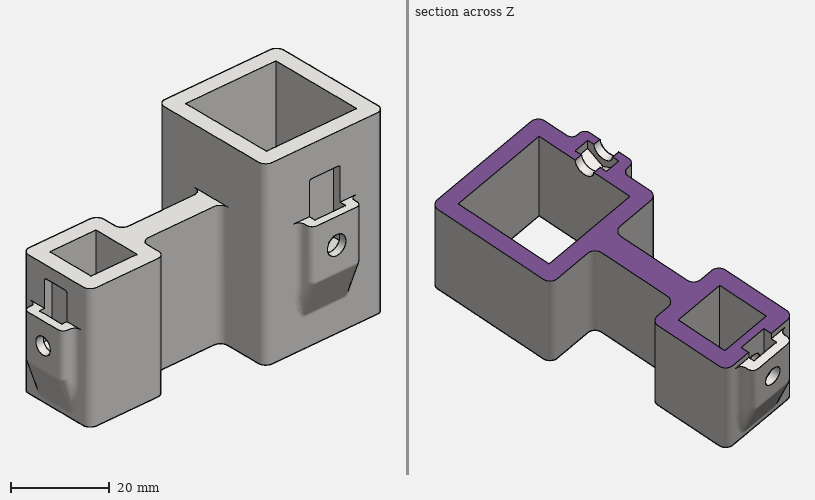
import cadquery as cq
import math

wall = 4.0
large_bore = 24.5
small_bore = 12.5
large_side = large_bore + 2 * wall
small_side = small_bore + 2 * wall
large_height = 48.0
small_height = 33.0
overall_length = 78.19
web_width = 6.0
corner_radius = 2.0

lug_radius = 1.5
ramp_drop = 9.5
backing_depth = wall / 2
margin = 0.1
pocket_inset = 2.0
pocket_corner_radius = 0.6
entry_clearance = 0.45

small_lug_width = 11.9
small_lug_depth = 3.44
small_lug_top = 22.5
small_nut_width = 6.8
small_nut_outset = 1.4
small_bolt_diameter = 4.37

large_lug_width = 13.65
large_lug_depth = 3.64
large_lug_top = 30.9
large_nut_width = 8.35
large_nut_outset = 1.7
large_bolt_diameter = 5.0

tube_gap = overall_length - large_side - small_side - small_lug_depth
small_center_y = -(large_side / 2 + tube_gap + small_side / 2)


def square_post(side, height, center_y):
    """Square column with rounded vertical corners, standing on Z = 0."""
    post = cq.Workplane("XY").center(0, center_y).rect(side, side).extrude(height)
    return post.edges("|Z").fillet(corner_radius)


def square_bore(side, height, center_y):
    """Sharp-cornered square prism that opens a tube from end to end."""
    return cq.Workplane("XY").center(0, center_y).rect(side, side).extrude(height)


def web():
    """Flat web between the tubes, with a concave fillet at each of its four corners."""
    y_large = -large_side / 2
    y_small = y_large - tube_gap
    middle_y = (y_large + y_small) / 2
    plate = cq.Workplane("XY").center(0, middle_y).rect(web_width, tube_gap).extrude(small_height)
    for side in (-1, 1):
        for y_face, inward in ((y_large, -1), (y_small, 1)):
            x_web = side * web_width / 2
            x_end = x_web + side * corner_radius
            y_end = y_face + inward * corner_radius
            blend = cq.Workplane("XY").rect(corner_radius, corner_radius).extrude(small_height)
            blend = blend.translate(((x_web + x_end) / 2, (y_face + y_end) / 2, 0))
            round_cut = cq.Workplane("XY").center(x_end, y_end).circle(corner_radius).extrude(small_height)
            plate = plate.union(blend.cut(round_cut))
    return plate


def lug(width, depth, top):
    """Lug pointing to -Y from a backing slab whose outer face is Y = 0, with a ramp under it."""
    ramp_top = top - width
    ramp_bottom = ramp_top - ramp_drop
    half_width = width / 2
    block = (
        cq.Workplane("YZ")
        .moveTo(backing_depth, top)
        .lineTo(-depth, top)
        .lineTo(-depth, ramp_top)
        .lineTo(0, ramp_bottom)
        .lineTo(backing_depth, ramp_bottom)
        .close()
        .extrude(half_width, both=True)
    )
    front_edges = cq.selectors.BoxSelector(
        (-width, -depth - margin, ramp_bottom + margin),
        (width, -margin, top - margin),
    )
    block = block.edges(front_edges).fillet(lug_radius)
    slab_width = width + 2 * lug_radius + 2 * margin
    slab = cq.Workplane("XY").box(slab_width, backing_depth, top, centered=(True, False, False))
    root_edges = cq.selectors.BoxSelector(
        (-half_width - margin / 2, -margin, ramp_bottom - margin),
        (half_width + margin / 2, margin, top + margin),
        boundingbox=True,
    )
    return slab.union(block).edges(root_edges).fillet(lug_radius)


def nut_pocket(nut_width, outset, lug_width, lug_depth, lug_top, bolt_diameter):
    """Drop-in pocket for a hex nut, pointed at the bottom, with the bolt hole through the wall."""
    bolt_z = lug_top - lug_width / 2
    half_nut = nut_width / 2
    side_rise = half_nut * math.tan(math.pi / 6)
    entry_top = lug_top + nut_width + entry_clearance
    profile = [
        (-half_nut, bolt_z - side_rise),
        (0, bolt_z - 2 * side_rise),
        (half_nut, bolt_z - side_rise),
        (half_nut, entry_top),
        (-half_nut, entry_top),
    ]
    pocket = (
        cq.Workplane("XZ", origin=(0, pocket_inset, 0))
        .polyline(profile)
        .close()
        .extrude(pocket_inset + outset)
    )
    pocket = pocket.edges("|Y and >Z").fillet(pocket_corner_radius)
    bolt_hole = (
        cq.Workplane("XZ", origin=(0, wall + margin, 0))
        .center(0, bolt_z)
        .circle(bolt_diameter / 2)
        .extrude(wall + lug_depth + 2 * margin)
    )
    return pocket.union(bolt_hole)


def on_small_tube(shape):
    """Move a shape built on the Y = 0 wall to the -Y face of the small tube."""
    return shape.translate((0, small_center_y - small_side / 2, 0))


def on_large_tube(shape):
    """Move a shape built on the Y = 0 wall to the +X face of the large tube."""
    return shape.rotate((0, 0, 0), (0, 0, 1), 90).translate((large_side / 2, 0, 0))


small_pocket = nut_pocket(
    small_nut_width,
    small_nut_outset,
    small_lug_width,
    small_lug_depth,
    small_lug_top,
    small_bolt_diameter,
)
large_pocket = nut_pocket(
    large_nut_width,
    large_nut_outset,
    large_lug_width,
    large_lug_depth,
    large_lug_top,
    large_bolt_diameter,
)

body = square_post(large_side, large_height, 0)
body = body.union(square_post(small_side, small_height, small_center_y))
body = body.union(web())
body = body.union(on_small_tube(lug(small_lug_width, small_lug_depth, small_lug_top)))
body = body.union(on_large_tube(lug(large_lug_width, large_lug_depth, large_lug_top)))

body = body.cut(square_bore(large_bore, large_height, 0))
body = body.cut(square_bore(small_bore, small_height, small_center_y))
body = body.cut(on_small_tube(small_pocket))
body = body.cut(on_large_tube(large_pocket))

result = body